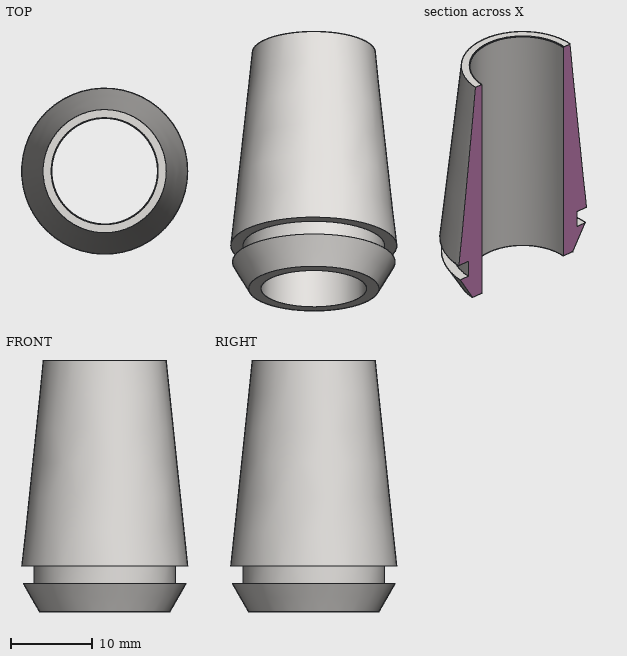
import cadquery as cq

total_height = 31.0
flange_top = 3.5
groove_top = 5.65

nose_diameter = 16.05
flange_diameter = 20.1
groove_diameter = 17.48
shoulder_diameter = 20.5
tail_diameter = 15.2
bore_diameter = 13.02

bore_chamfer = 0.1

nose_radius = nose_diameter / 2
flange_radius = flange_diameter / 2
groove_radius = groove_diameter / 2
shoulder_radius = shoulder_diameter / 2
tail_radius = tail_diameter / 2
bore_radius = bore_diameter / 2

half_section = (
    cq.Workplane("XZ")
    .moveTo(bore_radius, 0)
    .lineTo(nose_radius, 0)
    .lineTo(flange_radius, flange_top)
    .lineTo(groove_radius, flange_top)
    .lineTo(groove_radius, groove_top)
    .lineTo(shoulder_radius, groove_top)
    .lineTo(tail_radius, total_height)
    .lineTo(bore_radius + bore_chamfer, total_height)
    .lineTo(bore_radius, total_height - bore_chamfer)
    .close()
)

result = half_section.revolve(360, (0, 0, 0), (0, 1, 0))